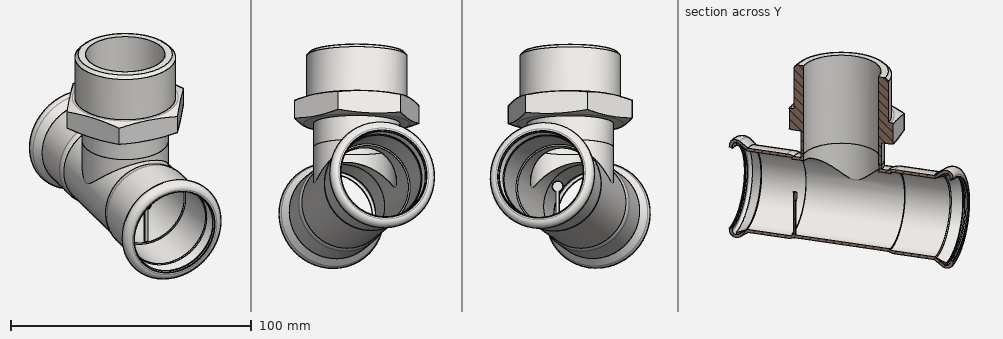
import cadquery as cq
import math

half_length = 49.5
socket_radius = 38.4 / 2
socket_bore_radius = 35.3 / 2
wall = socket_radius - socket_bore_radius
run_radius = 37.0 / 2
run_bore_radius = 34.0 / 2
shoulder_outer_x = 23.7
shoulder_inner_x = 20.9
socket_depth_x = 21.8

bead_radius = 3.1
bead_x = half_length - bead_radius
bead_cone_angle = math.radians(35)
lip_radius = 18.4
lip_throat_radius = 36.0 / 2
lip_chamfer_start_x = 49.0
lip_chamfer_end_x = 48.5
seal_mouth_radius = 19.8
seal_bore_radius = 36.0 / 2
cavity_radius = bead_radius - wall
cavity_end_x = bead_x + cavity_radius

branch_radius = 35.9 / 2
branch_bore_radius = 33.0 / 2
joint_z = 20.3
hex_bottom_z = 30.3
hex_top_z = 40.2
fitting_top_z = 60.2

hex_across_corners = 53.2
hex_face_radius = 22.0
hex_chamfer_angle = math.radians(15)
male_radius = 41.9 / 2
male_chamfer = 1.4

stop_x = 20.8
stop_thickness = 1.0
stop_disc_radius = 2.3
stop_stem_width = 1.4


def bead_point(radius, angle):
    """Point (x, r) on a circle about the bead centre; angle 0 faces the open end."""
    return (bead_x + radius * math.cos(angle), socket_radius + radius * math.sin(angle))


def cone_x(radius, end_radius):
    """X where the straight cone tangent to a bead circle comes down to end_radius."""
    tangent_x, tangent_r = bead_point(radius, math.pi / 2 + bead_cone_angle)
    return tangent_x - (tangent_r - end_radius) / math.tan(bead_cone_angle)


def add_bead_curve(sketch, radius, start=0.0):
    """Continue a profile round a bead circle, from the start angle to the top of its cone."""
    cone_start = math.pi / 2 + bead_cone_angle
    middle = bead_point(radius, (start + cone_start) / 2)
    return sketch.threePointArc(middle, bead_point(radius, cone_start))


def revolve_about_x(sketch):
    return sketch.close().revolve(360, (0, 0, 0), (1, 0, 0))


def cylinder_z(radius, bottom, top):
    return cq.Workplane("XY").workplane(offset=bottom).circle(radius).extrude(top - bottom)


def make_end_outside():
    """Solid outer shape of the +X end of the run, from the shoulder outwards."""
    drop = socket_radius - run_radius
    length = shoulder_outer_x - shoulder_inner_x
    round_radius = (length**2 + drop**2) / (2 * drop)
    middle_x = shoulder_outer_x - length / 2
    middle_r = socket_radius - round_radius + math.sqrt(round_radius**2 - (length / 2)**2)
    sketch = (
        cq.Workplane("XZ")
        .moveTo(shoulder_inner_x, 0)
        .lineTo(half_length, 0)
        .lineTo(half_length, socket_radius)
    )
    sketch = add_bead_curve(sketch, bead_radius)
    sketch = (
        sketch.lineTo(cone_x(bead_radius, socket_radius), socket_radius)
        .lineTo(shoulder_outer_x, socket_radius)
        .threePointArc((middle_x, middle_r), (shoulder_inner_x, run_radius))
    )
    return revolve_about_x(sketch)


def make_end_bore():
    """Hollow of the +X end of the run: chamfered lip, seal cavity and socket."""
    sketch = (
        cq.Workplane("XZ")
        .moveTo(socket_depth_x, 0)
        .lineTo(half_length, 0)
        .lineTo(half_length, lip_radius)
        .lineTo(lip_chamfer_start_x, lip_radius)
        .lineTo(lip_chamfer_end_x, lip_throat_radius)
        .lineTo(cavity_end_x, lip_throat_radius)
        .lineTo(cavity_end_x, socket_radius)
    )
    sketch = add_bead_curve(sketch, cavity_radius)
    sketch = (
        sketch.lineTo(cone_x(cavity_radius, socket_bore_radius), socket_bore_radius)
        .lineTo(socket_depth_x, socket_bore_radius)
    )
    return revolve_about_x(sketch)


def cylinder_x(radius, half_span):
    return cq.Workplane("YZ").circle(radius).extrude(half_span, both=True)


def both_ends(end):
    return end.union(end.mirror("YZ"))


def make_stop():
    """Disc on the run axis with a stem down into the wall of the run."""
    stem_length = (run_bore_radius + run_radius) / 2
    plane = cq.Workplane("YZ").workplane(offset=stop_x - stop_thickness / 2)
    disc = plane.circle(stop_disc_radius).extrude(stop_thickness)
    stem = plane.center(0, -stem_length / 2).rect(stop_stem_width, stem_length).extrude(stop_thickness)
    return disc.union(stem)


def make_tee():
    outside = cylinder_x(run_radius, shoulder_inner_x).union(both_ends(make_end_outside()))
    outside = outside.union(cylinder_z(branch_radius, 0, joint_z))
    tee = outside.cut(cylinder_x(run_bore_radius, socket_depth_x))
    tee = tee.cut(both_ends(make_end_bore()))
    tee = tee.cut(cylinder_z(branch_bore_radius, 0, joint_z))
    return tee.union(make_stop())


def make_hexagon():
    """Hexagon with corners on the Y axis, both faces coned down towards the corners."""
    height = hex_top_z - hex_bottom_z
    corner_radius = hex_across_corners / 2
    corner_drop = (corner_radius - hex_face_radius) * math.tan(hex_chamfer_angle)
    prism = (
        cq.Workplane("XY")
        .workplane(offset=hex_bottom_z)
        .polygon(6, hex_across_corners)
        .extrude(height)
        .rotate((0, 0, 0), (0, 0, 1), 90)
    )
    envelope = (
        cq.Workplane("XZ")
        .moveTo(0, hex_bottom_z)
        .lineTo(hex_face_radius, hex_bottom_z)
        .lineTo(corner_radius, hex_bottom_z + corner_drop)
        .lineTo(corner_radius, hex_top_z - corner_drop)
        .lineTo(hex_face_radius, hex_top_z)
        .lineTo(0, hex_top_z)
        .close()
        .revolve(360, (0, 0, 0), (0, 1, 0))
    )
    return prism.intersect(envelope)


def make_fitting():
    neck = cylinder_z(branch_radius, joint_z, hex_bottom_z)
    male_end = cylinder_z(male_radius, hex_top_z, fitting_top_z)
    male_end = male_end.faces(">Z").chamfer(male_chamfer)
    body = neck.union(make_hexagon()).union(male_end)
    return body.cut(cylinder_z(branch_bore_radius, joint_z, fitting_top_z))


def make_seal(side):
    """Seal ring in the inner side of the bead cavity, its bore narrowing inwards; side is +1 or -1."""
    sketch = (
        cq.Workplane("XZ")
        .moveTo(bead_x, seal_mouth_radius)
        .lineTo(bead_x, socket_radius + cavity_radius)
    )
    sketch = add_bead_curve(sketch, cavity_radius, math.pi / 2)
    sketch = sketch.lineTo(cone_x(cavity_radius, seal_bore_radius), seal_bore_radius)
    seal = revolve_about_x(sketch)
    return seal if side > 0 else seal.mirror("YZ")


tee = make_tee()
fitting = make_fitting()
seals = [make_seal(side) for side in (-1, 1)]

result = cq.Compound.makeCompound([body.solids().val() for body in (tee, fitting, *seals)])